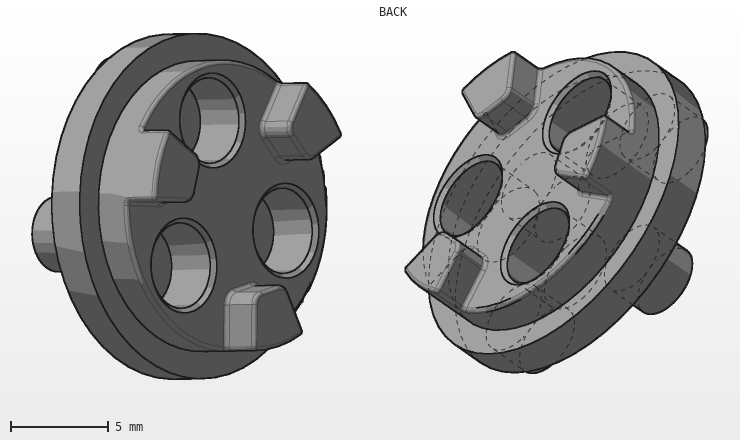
import cadquery as cq
import math

flange_diameter = 17.8
flange_thickness = 2.0
boss_diameter = 15.0
boss_height = 2.0

pin_diameter = 3.9
pin_length = 2.5
pin_pitch = 8.48

repeat_count = 3
hole_diameter = 4.4
hole_depth = 3.0
hole_circle_radius = 4.5
tooth_height = 2.0
tooth_inner_face = 4.42
tooth_angle = 30.0
tooth_corner_radius = 0.69
edge_radius = 0.2
hole_chamfer = 0.25

axis_tilt = 54.9
axis_elevation = 32.7

boss_radius = boss_diameter / 2
boss_top = flange_thickness + boss_height
step_angle = 360 / repeat_count
tooth_slope = math.tan(math.radians(tooth_angle / 2))
tolerance = 0.002


def make_tooth(angle):
    """Sector with a flat inner face, reaching past the boss wall so the wall can trim it."""
    outer_x = flange_diameter / 2
    tooth = (
        cq.Workplane("XY")
        .workplane(offset=boss_top)
        .moveTo(tooth_inner_face, -tooth_inner_face * tooth_slope)
        .lineTo(outer_x, -outer_x * tooth_slope)
        .lineTo(outer_x, outer_x * tooth_slope)
        .lineTo(tooth_inner_face, tooth_inner_face * tooth_slope)
        .close()
        .extrude(tooth_height)
        .edges("|Z and <X")
        .fillet(tooth_corner_radius)
    )
    return tooth.rotate((0, 0, 0), (0, 0, 1), angle)


def is_crown_edge(edge):
    """True for rim, root, top and outer upright edges; inner uprights are already round."""
    box = edge.BoundingBox()
    center = edge.Center()
    above_boss = box.zmin > boss_top - tolerance
    upright = box.zmax - box.zmin > tolerance
    on_outer_wall = math.hypot(center.x, center.y) > boss_radius - tolerance
    return above_boss and (on_outer_wall or not upright)


def make_crown():
    """Boss with its teeth, rounded along every upper edge."""
    crown = (
        cq.Workplane("XY")
        .workplane(offset=flange_thickness)
        .circle(boss_radius)
        .extrude(boss_height + tooth_height)
        .rotate((0, 0, 0), (0, 0, 1), step_angle / 2)
    )
    waste = cq.Workplane("XY").workplane(offset=boss_top).circle(flange_diameter).extrude(tooth_height)
    for index in range(repeat_count):
        waste = waste.cut(make_tooth(index * step_angle))
    crown = crown.cut(waste)
    rounded_edges = [edge for edge in crown.edges().vals() if is_crown_edge(edge)]
    return crown.newObject(rounded_edges).fillet(edge_radius)


def make_hole():
    """Cutter for one blind hole with a chamfered mouth, midway between two teeth."""
    hole_radius = hole_diameter / 2
    mouth_radius = hole_radius + hole_chamfer
    profile = (
        cq.Workplane("XZ")
        .moveTo(0, -hole_depth)
        .lineTo(hole_radius, -hole_depth)
        .lineTo(hole_radius, -hole_chamfer)
        .lineTo(mouth_radius, 0)
        .lineTo(0, 0)
        .close()
    )
    cutter = profile.revolve(360, (0, 0, 0), (0, 1, 0))
    return cutter.translate((hole_circle_radius, 0, boss_top))


def make_pins():
    """Square of pins with its diagonals along the local X and Y axes."""
    return (
        cq.Workplane("XY")
        .transformed(rotate=(0, 0, 45))
        .rect(pin_pitch, pin_pitch, forConstruction=True)
        .vertices()
        .circle(pin_diameter / 2)
        .extrude(-pin_length)
    )


flange = cq.Workplane("XY").circle(flange_diameter / 2).extrude(flange_thickness)
body = flange.union(make_crown()).union(make_pins())
for index in range(repeat_count):
    hole_angle = (index + 0.5) * step_angle
    body = body.cut(make_hole().rotate((0, 0, 0), (0, 0, 1), hole_angle))

result = (
    body.rotate((0, 0, 0), (1, 0, 0), -axis_elevation)
    .rotate((0, 0, 0), (0, 1, 0), axis_tilt)
)